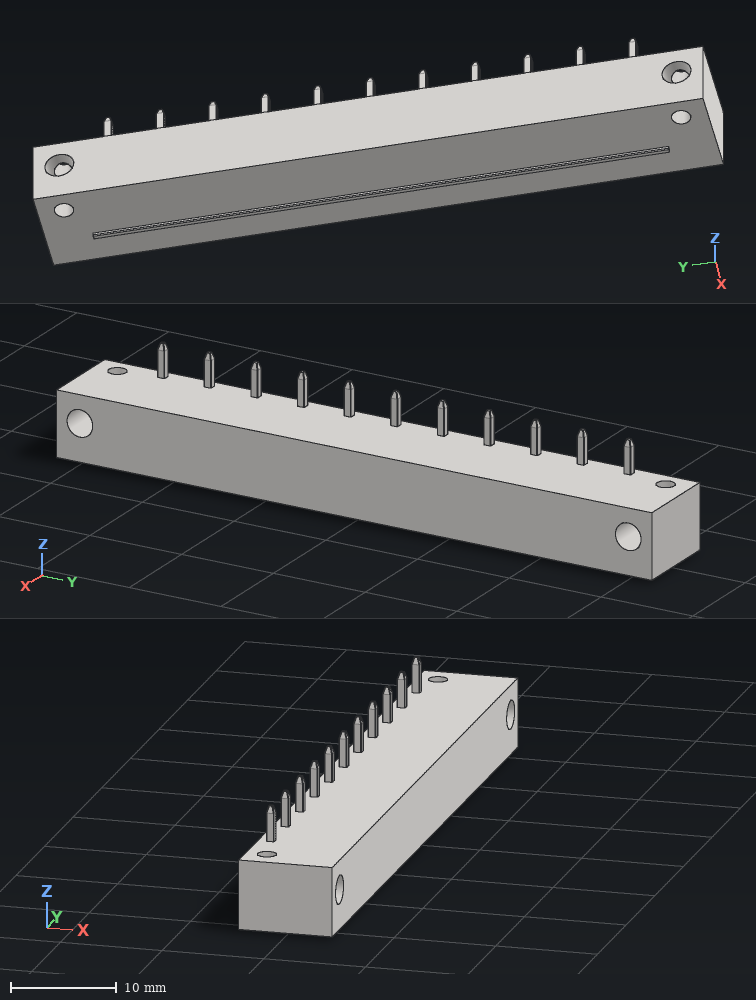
import cadquery as cq

body_width = 9.2
body_length = 64.9
body_height = 6.9

pin_count = 11
pin_row_length = 50.8
pin_pitch = pin_row_length / (pin_count - 1)
pin_x = 1.25
pin_width = 0.8
pin_edge_chamfer = 0.05
pin_height = 3.45
pin_tip_height = 0.65
pin_tip_width = 0.4

hole_spacing = 59.8
side_hole_diameter = 2.8
side_hole_depth_below_top = 2.9
top_hole_diameter = 1.8
top_hole_x = 2.1

rib_x = 5.7
rib_width = 0.45
rib_length = 55.75
rib_height = 0.3
rib_chamfer = 0.1


def make_body():
    """Plain block carrying the pins."""
    return cq.Workplane("XY").box(
        body_width, body_length, body_height, centered=(False, True, False)
    ).translate((0, 0, -body_height))


def make_rib():
    """Low rib hanging below the body, chamfered along its lower -X edge."""
    rib = cq.Workplane("XY").box(
        rib_width, rib_length, 2 * rib_height, centered=(False, True, True)
    )
    rib = rib.edges("<X and <Z").chamfer(rib_chamfer)
    return rib.translate((rib_x, 0, -body_height))


def pin_section(width):
    """Square outline with slightly chamfered corners."""
    return cq.Sketch().rect(width, width).vertices().chamfer(pin_edge_chamfer)


def make_pin(y):
    """Square pin with softened long edges and a tapered tip."""
    shank_height = pin_height - pin_tip_height
    shank_section = pin_section(pin_width)
    shank = cq.Workplane("XY").placeSketch(shank_section).extrude(shank_height)
    tip = (
        cq.Workplane("XY", origin=(0, 0, shank_height))
        .placeSketch(
            shank_section,
            pin_section(pin_tip_width).moved(cq.Location(cq.Vector(0, 0, pin_tip_height))),
        )
        .loft()
    )
    return shank.union(tip).translate((pin_x, y, 0))


def cut_end_holes(part, y):
    """Cut the crosswise and vertical through holes at one end."""
    side_hole = (
        cq.Workplane("YZ")
        .center(y, -side_hole_depth_below_top)
        .circle(side_hole_diameter / 2)
        .extrude(body_width)
    )
    top_hole = (
        cq.Workplane("XY")
        .center(top_hole_x, y)
        .circle(top_hole_diameter / 2)
        .extrude(-body_height)
    )
    return part.cut(side_hole).cut(top_hole)


result = make_body().union(make_rib())
for index in range(pin_count):
    pin_y = index * pin_pitch - pin_row_length / 2
    result = result.union(make_pin(pin_y))
for end in (-1, 1):
    result = cut_end_holes(result, end * hole_spacing / 2)